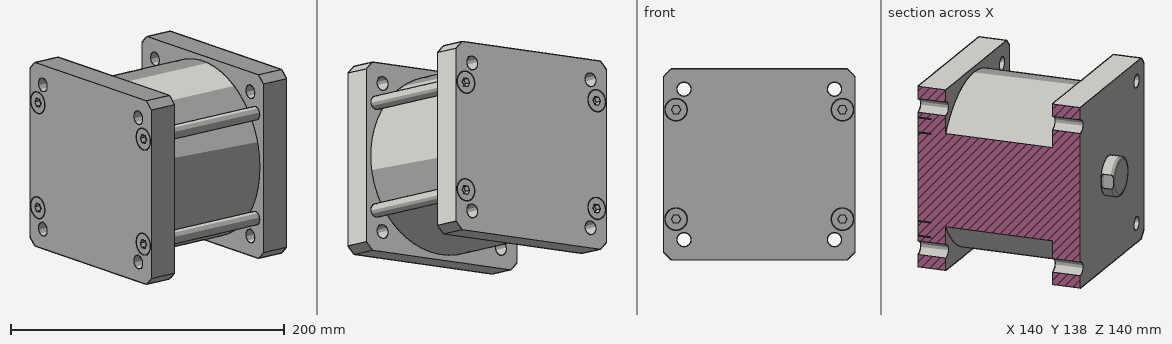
import cadquery as cq
import math

plate_side = 140
plate_thickness = 22
tube_diameter = 132
tube_length = 84
rear_plate_start = plate_thickness + tube_length
rear_plate_end = rear_plate_start + plate_thickness

corner_diameter = 190

mount_hole_diameter = 10.11
mount_hole_offset = 55

rod_diameter = 10
rod_offset_x = 60.8
rod_offset_z = 40
head_diameter = 16
counterbore_diameter = 16.5
counterbore_depth = 10
socket_sides = 6
socket_across_flats = 6
socket_depth = 5

boss_diameter = 30
boss_length = 10
boss_fillet = 2
flats_width = 28
flat_gap = 0.5
flat_root_radius = 1


def corner_points(x, z):
    """The four points (+-x, +-z)."""
    return [(x, z), (x, -z), (-x, z), (-x, -z)]


rod_centers = corner_points(rod_offset_x, rod_offset_z)
mount_centers = corner_points(mount_hole_offset, mount_hole_offset)


def plane_at(y):
    """Sketch plane at the given Y: local x is X, local y is Z, and the normal points to -Y."""
    return cq.Workplane("XZ", origin=(0, y, 0))


def cylinder(diameter, start, length, centers=((0, 0),)):
    """Cylinders along +Y from start, one at each (x, z) centre."""
    return plane_at(start).pushPoints(centers).circle(diameter / 2).extrude(-length)


def make_plate(start):
    """Square plate with rounded-off corners and four mounting holes."""
    plate = plane_at(start).rect(plate_side, plate_side).extrude(-plate_thickness)
    plate = plate.intersect(cylinder(corner_diameter, start, plate_thickness))
    return plate.cut(cylinder(mount_hole_diameter, start, plate_thickness, mount_centers))


def cut_head_details(body):
    """Clearance ring around each tie rod head and a hexagon socket in it."""
    clearance = cylinder(counterbore_diameter, 0, counterbore_depth, rod_centers)
    heads = cylinder(head_diameter, 0, counterbore_depth, rod_centers)
    socket_across_corners = socket_across_flats / math.cos(math.pi / socket_sides)
    sockets = plane_at(0).pushPoints(rod_centers).polygon(socket_sides, socket_across_corners)
    sockets = sockets.extrude(-socket_depth)
    return body.cut(clearance.cut(heads)).cut(sockets)


def make_boss():
    """Round boss with a rounded free end."""
    boss = cylinder(boss_diameter, rear_plate_end, boss_length)
    return boss.faces(">Y").edges().fillet(boss_fillet)


def cut_wrench_flats(boss):
    """Two flats facing -X and +X, with a rounded root just short of the rear plate."""
    cutter_width = (boss_diameter - flats_width) / 2 + flat_root_radius
    cutter_length = boss_length - flat_gap
    cutter = cq.Workplane("XY").box(
        cutter_width, cutter_length, boss_diameter, centered=(False, False, True)
    )
    cutter = cutter.faces("<X").edges("<Y").fillet(flat_root_radius)
    cutter = cutter.translate((flats_width / 2, rear_plate_end + flat_gap, 0))
    return boss.cut(cutter).cut(cutter.mirror("YZ"))


body = make_plate(0)
body = body.union(cylinder(tube_diameter, plate_thickness, tube_length))
body = body.union(make_plate(rear_plate_start))
body = body.union(cylinder(rod_diameter, plate_thickness, tube_length, rod_centers))
body = cut_head_details(body)
result = body.union(cut_wrench_flats(make_boss()))